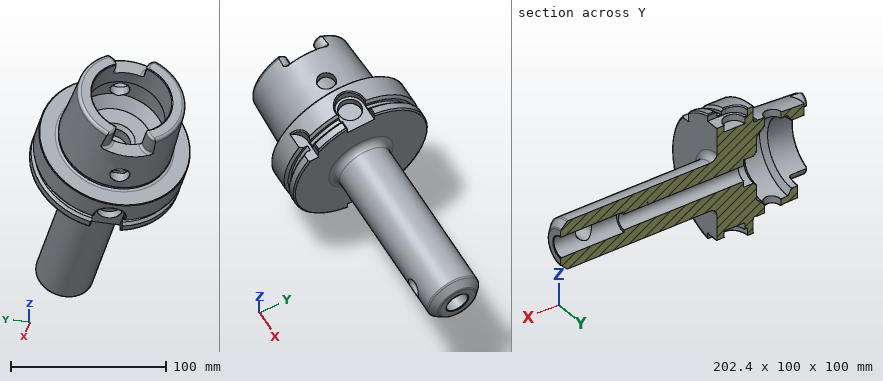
import cadquery as cq
import math


taper_length = 50.0
taper_root_diameter = 76.0
taper_rate = 1 / 10
taper_nose_fillet = 2.3
relief_start = -2.9
relief_slope_length = 0.9
relief_end = -0.5
relief_depth = 0.5
face_collar_diameter = 78.6

flange_diameter = 100.0
flange_width = 29.0
flange_front_chamfer = 0.5
flange_rear_chamfer = 1.0
groove_center = 19.8
groove_bottom_diameter = 92.0
groove_bottom_width = 3.6
groove_top_width = 6.8
groove_flank_depth = 2.0

shank_diameter = 38.1
shank_end = 152.4
shank_root_fillet = 5.0
shank_end_chamfer = 5.3
shank_end_fillet = 1.6
set_screw_diameter = 12.75
set_screw_from_end = 23.8

mouth_diameter = 53.0
mouth_chamfer = 0.6
mouth_depth = 20.0
clamp_diameter = 63.0
clamp_angle = 60.0
cavity_floor = -2.5
floor_diameter = 49.0
coolant_entry_diameter = 26.0
coolant_seat_diameter = 21.0
coolant_seat_depth = 10.0
coolant_diameter = 12.0
bar_bore_diameter = 15.88
bar_bore_depth = 50.0
bar_bore_mouth_diameter = 16.88

access_diameter = 12.75
access_center = -15.2

keyway_width = 20.0
keyway_depth_top = 10.0
keyway_depth_bottom = 15.0
keyway_floor_fillet = 1.8
keyway_flare_radius = 7.3
keyway_flare_height = 31.8
keyway_mouth_fillet = 1.6

slot_width = 20.0
slot_center = 15.0
slot_floor = 44.0
slot_edge_chamfer = 0.8
slot_pocket_diameter = 16.0
slot_pocket_depth = 5.0
notch_floor = 31.5
notch_wall = 31.5

pick_margin = 0.1
clearance = 1.0

taper_root_radius = taper_root_diameter / 2
taper_nose_radius = taper_root_radius - taper_length * taper_rate / 2
flange_radius = flange_diameter / 2


def revolve(points):
    """Revolve an (axial, radial) outline about the X axis."""
    outline = cq.Workplane("XY").polyline(points).close()
    return outline.revolve(360, (0, 0, 0), (1, 0, 0))


def edges_in_box(body, low, high):
    """Edges whose centers lie between two corners, widened by the pick margin."""
    low_corner = tuple(value - pick_margin for value in low)
    high_corner = tuple(value + pick_margin for value in high)
    return body.edges(cq.selectors.BoxSelector(low_corner, high_corner))


def make_taper_blank():
    """Cone with a relief neck and a small collar where it meets the flange."""
    relief_start_radius = taper_root_radius + relief_start * taper_rate / 2
    relief_radius = relief_start_radius - relief_depth
    return revolve([
        (-taper_length, 0),
        (-taper_length, taper_nose_radius),
        (relief_start, relief_start_radius),
        (relief_start + relief_slope_length, relief_radius),
        (relief_end, relief_radius),
        (0, face_collar_diameter / 2),
        (0, 0),
    ])


def make_cavity():
    """Hollow interior: mouth bore, clamping recess, coolant seat and coolant hole."""
    mouth_radius = mouth_diameter / 2
    clamp_radius = clamp_diameter / 2
    floor_radius = floor_diameter / 2
    entry_radius = coolant_entry_diameter / 2
    seat_radius = coolant_seat_diameter / 2
    coolant_radius = coolant_diameter / 2
    mouth_end = mouth_depth - taper_length
    clamp_start = mouth_end + (clamp_radius - mouth_radius) / math.tan(math.radians(clamp_angle))
    floor_slope_start = cavity_floor - (clamp_radius - floor_radius)
    seat_end = cavity_floor + coolant_seat_depth
    return revolve([
        (-taper_length, 0),
        (-taper_length, mouth_radius + mouth_chamfer),
        (-taper_length + mouth_chamfer, mouth_radius),
        (mouth_end, mouth_radius),
        (clamp_start, clamp_radius),
        (floor_slope_start, clamp_radius),
        (cavity_floor, floor_radius),
        (cavity_floor, entry_radius),
        (cavity_floor + entry_radius - seat_radius, seat_radius),
        (seat_end, seat_radius),
        (seat_end, coolant_radius),
        (shank_end, coolant_radius),
        (shank_end, 0),
    ])


def make_keyway_cutter(depth):
    """Cutter for the upper keyway: parallel walls that flare outward along arcs."""
    half_width = keyway_width / 2
    flare_start = keyway_flare_height - keyway_flare_radius
    flare_half_width = half_width + keyway_flare_radius
    bend = keyway_flare_radius * (1 - math.sqrt(0.5))
    outer_half_width = taper_root_diameter
    outer_height = taper_root_diameter
    cutter = (
        cq.Workplane("YZ", origin=(-taper_length, 0, 0))
        .moveTo(-half_width, 0)
        .lineTo(-half_width, flare_start)
        .threePointArc(
            (-half_width - bend, keyway_flare_height - bend),
            (-flare_half_width, keyway_flare_height),
        )
        .lineTo(-outer_half_width, keyway_flare_height)
        .lineTo(-outer_half_width, outer_height)
        .lineTo(outer_half_width, outer_height)
        .lineTo(outer_half_width, keyway_flare_height)
        .lineTo(flare_half_width, keyway_flare_height)
        .threePointArc(
            (half_width + bend, keyway_flare_height - bend),
            (half_width, flare_start),
        )
        .lineTo(half_width, 0)
        .close()
        .extrude(depth)
    )
    return cutter.faces(">X").edges().fillet(keyway_floor_fillet)


def make_taper():
    """Taper with its cavity, both keyways and the rounded mouth edges."""
    blank = make_taper_blank()
    taper = blank.cut(make_keyway_cutter(keyway_depth_top))
    taper = taper.cut(make_keyway_cutter(keyway_depth_bottom).mirror("XY"))

    flare_reach = keyway_width / 2 + keyway_flare_radius
    taper = edges_in_box(
        taper,
        (-taper_length, -flare_reach, -taper_nose_radius),
        (-taper_length, flare_reach, taper_nose_radius),
    ).fillet(keyway_mouth_fillet)

    round_nosed_blank = blank.faces("<X").edges().fillet(taper_nose_fillet)
    return taper.intersect(round_nosed_blank).cut(make_cavity())


def make_flange_blank():
    return revolve([
        (0, 0),
        (0, flange_radius - flange_front_chamfer),
        (flange_front_chamfer, flange_radius),
        (flange_width - flange_rear_chamfer, flange_radius),
        (flange_width, flange_radius - flange_rear_chamfer),
        (flange_width, 0),
    ])


def make_gripper_groove():
    """Ring cutter for the flanked groove around the flange."""
    flank_radius = flange_radius - groove_flank_depth
    bottom_radius = groove_bottom_diameter / 2
    outer_radius = flange_radius + clearance
    half_top = groove_top_width / 2
    half_bottom = groove_bottom_width / 2
    return revolve([
        (groove_center - half_top, outer_radius),
        (groove_center - half_top, flange_radius),
        (groove_center - half_bottom, flank_radius),
        (groove_center - half_bottom, bottom_radius),
        (groove_center + half_bottom, bottom_radius),
        (groove_center + half_bottom, flank_radius),
        (groove_center + half_top, flange_radius),
        (groove_center + half_top, outer_radius),
    ])


def make_slot_cutter(center_y, floor):
    """Round-ended slot, open toward the rear face, cut down to the given height."""
    half_width = slot_width / 2
    return (
        cq.Workplane("XY", origin=(slot_center, center_y, floor))
        .moveTo(flange_width, half_width)
        .lineTo(0, half_width)
        .threePointArc((-half_width, 0), (0, -half_width))
        .lineTo(flange_width, -half_width)
        .close()
        .extrude(flange_radius + clearance - floor)
    )


def make_drive_slot():
    """Upper drive slot with the round pocket in its floor."""
    pocket = (
        cq.Workplane("XY", origin=(slot_center, 0, slot_floor - slot_pocket_depth))
        .circle(slot_pocket_diameter / 2)
        .extrude(slot_pocket_depth)
    )
    return make_slot_cutter(0, slot_floor).union(pocket)


def cut_drive_slots(flange):
    """Cut the upper and lower drive slots and chamfer their rims."""
    drive_slot = make_drive_slot()
    flange = flange.cut(drive_slot).cut(drive_slot.mirror("XY"))
    half_width = slot_width / 2
    rim_height = math.sqrt(flange_radius ** 2 - half_width ** 2)
    rim_end = flange_width - flange_rear_chamfer
    for low_z, high_z in ((rim_height, flange_radius), (-flange_radius, -rim_height)):
        low = (flange_front_chamfer, -half_width, low_z)
        high = (rim_end - clearance, half_width, high_z)
        flange = edges_in_box(flange, low, high).chamfer(slot_edge_chamfer)
    return flange


def cut_notch(flange):
    """Cut the orientation notch beside the upper slot and chamfer its wall rim."""
    flange = flange.cut(make_slot_cutter(-notch_wall - slot_width / 2, notch_floor))
    rim_height = math.sqrt(flange_radius ** 2 - notch_wall ** 2)
    rim_reach = math.sqrt(flange_radius ** 2 - notch_floor ** 2)
    rim_end = flange_width - flange_rear_chamfer - clearance
    straight_rim = cq.selectors.BoxSelector(
        (slot_center, -notch_wall - pick_margin, rim_height - pick_margin),
        (rim_end, -notch_wall + pick_margin, rim_height + pick_margin),
    )
    round_rim = cq.selectors.BoxSelector(
        (flange_front_chamfer, -rim_reach, notch_floor + pick_margin),
        (slot_center - pick_margin, -notch_wall - pick_margin, rim_height),
    )
    return flange.edges(straight_rim + round_rim).chamfer(slot_edge_chamfer)


def make_flange():
    flange = cut_notch(cut_drive_slots(make_flange_blank()))
    return flange.cut(make_gripper_groove())


def make_shank():
    """Straight shank with a rounded 45 degree lead-in at its free end."""
    shank = (
        cq.Workplane("YZ", origin=(flange_width, 0, 0))
        .circle(shank_diameter / 2)
        .extrude(shank_end - flange_width)
        .faces(">X")
        .chamfer(shank_end_chamfer)
    )
    lead_in_edges = cq.selectors.BoxSelector(
        (shank_end - shank_end_chamfer - pick_margin, -pick_margin, -pick_margin),
        (shank_end + pick_margin, pick_margin, pick_margin),
    )
    return shank.edges("%CIRCLE").edges(lead_in_edges).fillet(shank_end_fillet)


def make_bar_bore():
    """Bore from the free end of the shank, with a 45 degree chamfered mouth."""
    bore_radius = bar_bore_diameter / 2
    mouth_radius = bar_bore_mouth_diameter / 2
    return revolve([
        (shank_end, 0),
        (shank_end, mouth_radius),
        (shank_end - (mouth_radius - bore_radius), bore_radius),
        (shank_end - bar_bore_depth, bore_radius),
        (shank_end - bar_bore_depth, 0),
    ])


def make_set_screw_hole():
    """Hole from the -Y side of the shank into the bar bore."""
    return (
        cq.Workplane("XZ", origin=(shank_end - set_screw_from_end, 0, 0))
        .circle(set_screw_diameter / 2)
        .extrude(shank_diameter / 2 + clearance)
    )


def make_access_hole():
    return (
        cq.Workplane("XY", origin=(access_center, 0, 0))
        .circle(access_diameter / 2)
        .extrude(taper_root_radius + clearance, both=True)
    )


holder = make_taper().union(make_flange()).union(make_shank())
shank_root = (flange_width, 0, 0)
holder = edges_in_box(holder, shank_root, shank_root).edges("%CIRCLE").fillet(shank_root_fillet)
holder = holder.cut(make_cavity())
holder = holder.cut(make_bar_bore())
holder = holder.cut(make_set_screw_hole())
result = holder.cut(make_access_hole())